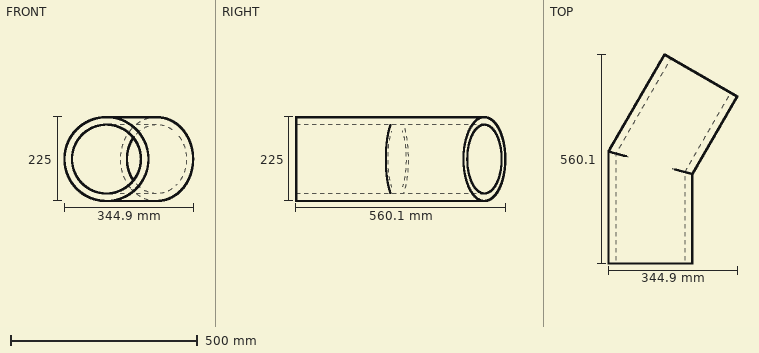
import cadquery as cq
import math

outer_diameter = 225.0
inner_diameter = 184.0
leg_length = 270.0
bend_angle = math.radians(30)

mitre_point = (0, leg_length)
far_end = (
    leg_length * math.sin(bend_angle),
    leg_length * (1 + math.cos(bend_angle)),
)
centreline = cq.Workplane("XY").polyline([(0, 0), mitre_point, far_end])


ring = cq.Workplane("XZ").circle(outer_diameter / 2).circle(inner_diameter / 2)
result = ring.sweep(centreline, transition="right")